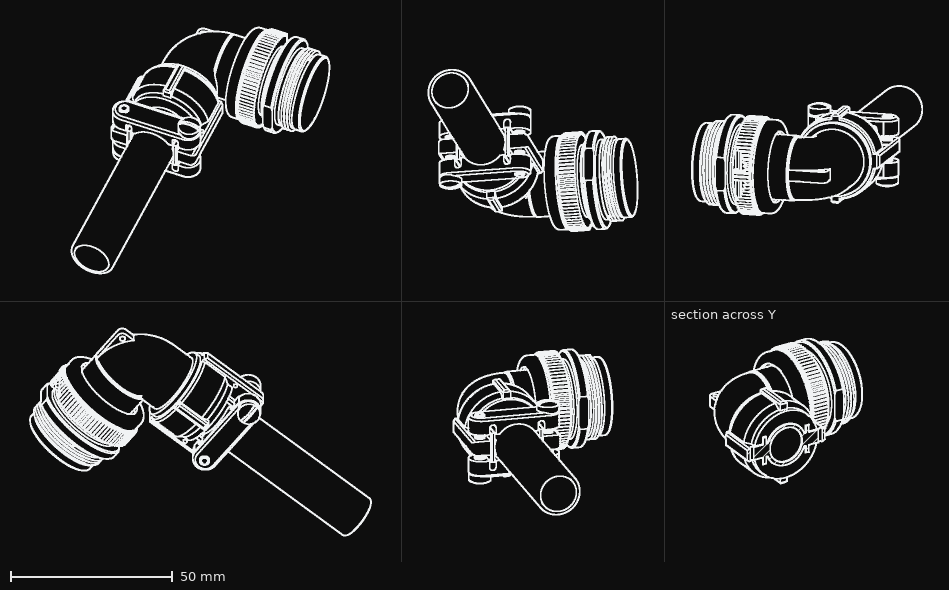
import cadquery as cq
import math


overlap = 0.5

cable_side_radius = 9.7
plug_side_radius = 10.1
bend_x = 7.6
bend_y = -7.1
bend_centre_radius = bend_x
bend_step = 0.6
tab_thickness = 3.5
tab_left = -4.5
tab_top = plug_side_radius
tab_corner = 1.8
tab_hole_radius = 0.8
tab_hole_x = -2.7
tab_hole_y = 8.2

flange_start = 13.85
flange_end = 17.7
flange_radius = 14.55
flange_round = 1.5
flange_mouth_radius = 11.05
flange_mouth_depth = 1.0
groove_radius = 14.1
knurl_start = 18.4
knurl_bevel_end = 19.0
knurl_end = 23.9
knurl_radius = 15.245
knurl_depth = 0.75
knurl_bevel = 0.4
knurl_teeth = 76
knurl_margin = 0.01
neck_end = 25.1
neck_radius = 11.2
shell_end = 31.1
shell_radius = 12.45
shell_bevel = 0.5
wrench_start = 26.6
wrench_end = 29.85
wrench_bevel = 0.4
wrench_radius = knurl_radius
wrench_flat_distance = 14.3
thread_end = 35.5
thread_root_radius = 12.1
thread_radius = 13.1
thread_pitch = 1.0
thread_base = 0.9
thread_clearance = 0.02
thread_embed = 0.2
nose_end = 38.16
nose_radius = 12.2
nose_bevel = 0.4

lockwire_floor = 1.6
lockwire_x = 22.5
lockwire_y = 13.5
lockwire_radius = 0.7
notch_start_x = 19.3
notch_inner_y = 12.0

elbow_end = -14.1
collar_radius = 11.6
nut_start = -15.6
nut_radius = 12.9
nut_bevel_length = 0.9
nut_bevel_depth = 0.4
cone_start = -24.5
cone_end = -26.7
nut_tail_radius = 11.5
nut_end = -28.6
rib_width = 2.5
rib_reach = 14.15
rib_end = -27.4
rib_bevel = 0.6

sleeve_radius = 7.05
sleeve_bore_radius = 5.75
sleeve_end = -87.7
sleeve_round = 0.8

strap_half_width = 14.15
strap_thickness = 4.6
strap_bevel = 0.8
strap_bevel_height = 0.5
strap_corner_radius = 1.6
strap_hole_radius = 0.6
strap_hole_x = 12.35
strap_hole_y = -28.95
clamp_end = -39.4
clamp_width = 7.8
clamp_y = clamp_end + clamp_width / 2
clamp_half_length = 14.4
clamp_inner = 4.3
clamp_outer = 9.65
clamp_bevel = 0.8
clamp_ledge = 0.25
blade_x = 7.78
blade_thickness = 1.2
blade_half_height = 4.7
blade_bevel = 0.4
blade_recess_half_width = blade_x + blade_thickness / 2
blade_recess_depth = 0.4
slot_width = 2.0
slot_half_height = 7.4

screw_x = 10.9
head_radius = 3.45
head_top = 11.4
dome_height = 1.0
drive_width = 1.0
drive_depth = 1.1
shank_radius = 1.65
shank_groove_depth = 0.25
shank_pitch = 0.7
tip_radius = 1.1
tip_recess_radius = 1.5
tip_recess_depth = 0.4
tip_top = 9.95


def x_cylinder(radius, start, end):
    return cq.Workplane("YZ", origin=(start, 0, 0)).circle(radius).extrude(end - start)


def y_cylinder(radius, start, end):
    """Cylinder on the cable axis running from start down to end."""
    return cq.Workplane("XZ", origin=(0, start, 0)).circle(radius).extrude(start - end)


def z_cylinder(radius, x, y, bottom, top):
    return cq.Workplane("XY", origin=(x, y, bottom)).circle(radius).extrude(top - bottom)


def box(x_range, y_range, z_range):
    sizes = [high - low for low, high in (x_range, y_range, z_range)]
    corner = (x_range[0], y_range[0], z_range[0])
    return cq.Workplane("XY").box(*sizes, centered=False).translate(corner)


def bend():
    """Quarter turn whose section is a disc trimmed at the bend axis."""
    half_chord = math.sqrt(cable_side_radius**2 - bend_centre_radius**2)
    section = (
        cq.Workplane("XZ", origin=(bend_x, bend_y, 0))
        .moveTo(0, half_chord)
        .threePointArc((-bend_centre_radius - cable_side_radius, 0), (0, -half_chord))
        .close()
    )
    return section.revolve(90, (0, 0, 0), (0, -1, 0))


def elbow():
    """Bend with the two tubes that leave it, stepped on the plug side."""
    body = bend()
    body = body.union(y_cylinder(cable_side_radius, bend_y, nut_start - overlap))
    body = body.union(x_cylinder(cable_side_radius, bend_x, bend_x + bend_step + overlap))
    plug_side_end = flange_start + flange_mouth_depth + overlap
    body = body.union(x_cylinder(plug_side_radius, bend_x + bend_step, plug_side_end))
    return body


def elbow_tab():
    """Flat corner lug on the outside of the bend, with a lockwire hole."""
    tab = box((tab_left, bend_x), (0, tab_top), (-tab_thickness / 2, tab_thickness / 2))
    tab = tab.edges("<X and >Y").fillet(tab_corner)
    hole = z_cylinder(tab_hole_radius, tab_hole_x, tab_hole_y, -tab_thickness, tab_thickness)
    return tab.cut(hole)


def plug_body():
    """Revolved plug shell from the rounded flange to the nose."""
    flange = x_cylinder(flange_radius, flange_start, flange_end).faces("<X").edges().fillet(flange_round)
    mouth = x_cylinder(flange_mouth_radius, flange_start, flange_start + flange_mouth_depth)
    flange = flange.cut(mouth)
    groove = x_cylinder(groove_radius, flange_end - overlap, knurl_start + overlap)
    neck = x_cylinder(neck_radius, knurl_end - overlap, neck_end + overlap)
    shell = x_cylinder(shell_radius, neck_end, shell_end).faces("<X").edges().chamfer(shell_bevel)
    nose = x_cylinder(nose_radius, thread_end, nose_end).faces(">X").edges().chamfer(nose_bevel)
    body = flange
    for section in (groove, neck, shell, plug_thread(), nose):
        body = body.union(section)
    return body


def knurl_ring():
    """Ring with V teeth, bevelled towards the flange, with a lockwire notch on its +Y side."""
    half_tooth = math.pi / knurl_teeth
    points = []
    for index in range(2 * knurl_teeth):
        radius = knurl_radius - knurl_depth * (index % 2)
        angle = index * half_tooth
        points.append((radius * math.cos(angle), radius * math.sin(angle)))
    teeth = cq.Workplane("YZ", origin=(knurl_start, 0, 0)).polyline(points).close()
    ring = teeth.extrude(knurl_end - knurl_start)
    blank = x_cylinder(knurl_radius + knurl_margin, knurl_start, knurl_end)
    blank = blank.faces("<X").edges().chamfer(knurl_bevel_end - knurl_start, knurl_bevel)
    ring = ring.intersect(blank)
    wedge = (
        cq.Workplane("XY", origin=(0, 0, lockwire_floor))
        .moveTo(notch_start_x, knurl_radius)
        .lineTo(knurl_end, notch_inner_y)
        .lineTo(knurl_end, knurl_radius)
        .close()
        .extrude(knurl_radius)
    )
    ring = ring.cut(wedge).cut(wedge.mirror("XY"))
    hole = z_cylinder(lockwire_radius, lockwire_x, lockwire_y, -knurl_radius, knurl_radius)
    return ring.cut(hole)


def wrench_flange():
    """Bevelled disc with two opposite wrench flats."""
    disc = x_cylinder(wrench_radius, wrench_start, wrench_end).faces("<X or >X").edges().chamfer(wrench_bevel)
    flats = box(
        (wrench_start, wrench_end),
        (-wrench_flat_distance, wrench_flat_distance),
        (-wrench_radius, wrench_radius),
    )
    return disc.intersect(flats)


def plug_thread():
    """Shell core with a helical V ridge around it."""
    half_base = thread_base / 2
    start = shell_end + half_base + thread_clearance
    length = thread_end - half_base - thread_clearance - start
    inner = thread_root_radius - thread_embed
    path = cq.Wire.makeHelix(thread_pitch, length, thread_root_radius)
    ridge = (
        cq.Workplane("XZ")
        .moveTo(inner, -half_base)
        .lineTo(inner, half_base)
        .lineTo(thread_radius, 0)
        .close()
        .sweep(cq.Workplane(obj=path), isFrenet=True)
    )
    ridge = ridge.rotate((0, 0, 0), (0, 1, 0), 90).translate((start, 0, 0))
    core = x_cylinder(thread_root_radius, shell_end - overlap, thread_end + overlap)
    return core.union(ridge)


def cable_nut():
    """Round nut with a tapered tail and two ribs, behind a thin collar."""
    collar = y_cylinder(collar_radius, elbow_end, nut_start - overlap)
    nut = (
        cq.Workplane("XY")
        .moveTo(0, nut_start)
        .lineTo(nut_radius - nut_bevel_depth, nut_start)
        .lineTo(nut_radius, nut_start - nut_bevel_length)
        .lineTo(nut_radius, cone_start)
        .lineTo(nut_tail_radius, cone_end)
        .lineTo(nut_tail_radius, nut_end)
        .lineTo(0, nut_end)
        .close()
        .revolve(360, (0, 0, 0), (0, 1, 0))
    )
    ribs = box(
        (-rib_width / 2, rib_width / 2),
        (rib_end, nut_start),
        (-rib_reach, rib_reach),
    )
    ribs = ribs.faces("<Z or >Z").edges().chamfer(rib_bevel)
    return collar.union(nut).union(ribs)


def sleeve():
    """Solid cable sleeve with a rounded rim; its bore is cut last."""
    tube = y_cylinder(sleeve_radius, nut_end + overlap, sleeve_end)
    return tube.faces("<Y").edges().fillet(sleeve_round)


def strap():
    """Flat plate in the XY plane that carries the clamp screws."""
    size_x = (-strap_half_width, strap_half_width)
    size_y = (clamp_end, nut_start)
    size_z = (-strap_thickness / 2, strap_thickness / 2)
    rounded = box(size_x, size_y, size_z)
    rounded = rounded.edges("|Z and <Y").fillet(strap_corner_radius)
    rounded = rounded.edges("|Z and >Y").chamfer(strap_bevel)
    upright = strap_thickness / 2 - strap_bevel_height
    section = [
        (strap_half_width, -upright),
        (strap_half_width, upright),
        (strap_half_width - strap_bevel, strap_thickness / 2),
        (-strap_half_width + strap_bevel, strap_thickness / 2),
        (-strap_half_width, upright),
        (-strap_half_width, -upright),
        (-strap_half_width + strap_bevel, -strap_thickness / 2),
        (strap_half_width - strap_bevel, -strap_thickness / 2),
    ]
    bevelled = cq.Workplane("XZ", origin=(0, nut_start, 0)).polyline(section).close()
    plate = rounded.intersect(bevelled.extrude(nut_start - clamp_end))
    blade_recess = box(
        (-blade_recess_half_width, blade_recess_half_width),
        (clamp_end, clamp_end + blade_recess_depth),
        size_z,
    )
    plate = plate.cut(blade_recess)
    for side in (-1, 1):
        hole = z_cylinder(
            strap_hole_radius, side * strap_hole_x, strap_hole_y, -strap_thickness, strap_thickness
        )
        plate = plate.cut(hole)
    return plate


def blade(side):
    """Upright guide plate that runs from the nut through the clamp bars."""
    middle = side * blade_x
    plate = box(
        (middle - blade_thickness / 2, middle + blade_thickness / 2),
        (clamp_end, nut_end + overlap),
        (-blade_half_height, blade_half_height),
    )
    outer_edge = "|Z and <Y and >X" if side > 0 else "|Z and <Y and <X"
    return plate.edges(outer_edge).chamfer(blade_bevel)


def clamp_bar():
    """Upper saddle bar with round ends and two slots for the guide blades."""
    bar = (
        cq.Workplane("XY", origin=(0, clamp_y, clamp_inner))
        .slot2D(2 * clamp_half_length, clamp_width)
        .extrude(clamp_outer - clamp_inner)
        .faces(">Z").edges().chamfer(clamp_bevel)
    )
    ledge = box(
        (-screw_x, screw_x),
        (clamp_y, clamp_end + clamp_width + clamp_ledge),
        (clamp_inner, clamp_outer - clamp_bevel),
    )
    bar = bar.union(ledge)
    slots = (
        cq.Workplane("XZ", origin=(0, clamp_y + clamp_width, 0))
        .pushPoints([(-blade_x, 0), (blade_x, 0)])
        .slot2D(2 * slot_half_height, slot_width, 90)
        .extrude(2 * clamp_width)
    )
    tip_recess = z_cylinder(
        tip_recess_radius, -screw_x, clamp_y, clamp_outer - tip_recess_depth, clamp_outer
    )
    return bar.cut(slots).cut(tip_recess)


def clamp_screw():
    """Screw at +X with its slotted dome head on top and its tip in the lower bar."""
    head = z_cylinder(head_radius, screw_x, clamp_y, clamp_outer - overlap, head_top)
    dome_radius = (head_radius**2 + dome_height**2) / (2 * dome_height)
    dome_centre = head_top + dome_height - dome_radius
    dome_middle = (head_radius / 2, dome_centre + math.sqrt(dome_radius**2 - head_radius**2 / 4))
    dome = (
        cq.Workplane("XZ", origin=(screw_x, clamp_y, 0))
        .moveTo(0, head_top)
        .lineTo(head_radius, head_top)
        .threePointArc(dome_middle, (0, head_top + dome_height))
        .close()
        .revolve(360, (0, 0, 0), (0, 1, 0))
    )
    drive = box(
        (screw_x - head_radius, screw_x + head_radius),
        (clamp_y - drive_width / 2, clamp_y + drive_width / 2),
        (head_top + dome_height - drive_depth, head_top + dome_height + overlap),
    )
    tip = z_cylinder(tip_radius, screw_x, clamp_y, -tip_top, -clamp_inner)
    return head.union(dome).cut(drive).union(threaded_shank()).union(tip)


def threaded_shank():
    """Screw core between the clamp bars, ringed by V grooves."""
    turns = round(2 * clamp_inner / shank_pitch)
    pitch = 2 * clamp_inner / turns
    outline = cq.Workplane("XZ", origin=(screw_x, clamp_y, 0)).moveTo(0, -clamp_inner - overlap)
    outline = outline.lineTo(shank_radius, -clamp_inner - overlap)
    for turn in range(turns):
        bottom = -clamp_inner + turn * pitch
        outline = outline.lineTo(shank_radius, bottom)
        outline = outline.lineTo(shank_radius - shank_groove_depth, bottom + pitch / 2)
    outline = outline.lineTo(shank_radius, clamp_inner)
    outline = outline.lineTo(shank_radius, clamp_inner + overlap)
    outline = outline.lineTo(0, clamp_inner + overlap)
    return outline.close().revolve(360, (0, 0, 0), (0, 1, 0))


def half_turn(body):
    """Copy turned half way round the cable axis."""
    return body.rotate((0, 0, 0), (0, 1, 0), 180)


result = elbow()
for feature in (elbow_tab(), plug_body(), knurl_ring(), wrench_flange()):
    result = result.union(feature)
for feature in (cable_nut(), sleeve(), strap(), blade(-1), blade(1)):
    result = result.union(feature)
for feature in (clamp_bar(), clamp_screw()):
    result = result.union(feature).union(half_turn(feature))

bore = y_cylinder(sleeve_bore_radius, nut_end, sleeve_end)
result = result.cut(bore)